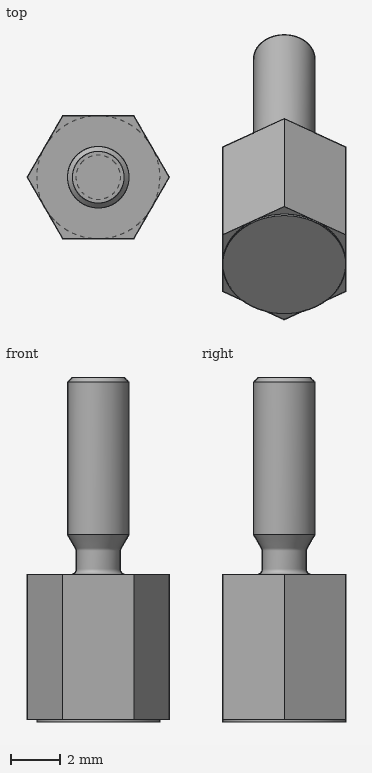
import cadquery as cq
import math

total_height = 14.0
hex_top = 6.0

across_flats = 5.0
across_corners = across_flats / math.cos(math.radians(30))
seat_diameter = across_flats
seat_height = 0.1

stud_diameter = 2.5
stud_radius = stud_diameter / 2
tip_chamfer = 0.2
neck_diameter = 1.8
neck_radius = neck_diameter / 2
neck_fillet = 0.2
neck_length = 0.95
upper_fillet_start = hex_top + neck_length
cone_angle = math.radians(30)


def make_hex_body():
    """Hexagon with two corners on the X axis, plus the thin round seat below it."""
    seat = cq.Workplane("XY").circle(seat_diameter / 2).extrude(seat_height)
    body = (
        cq.Workplane("XY")
        .workplane(offset=seat_height)
        .polygon(6, across_corners)
        .extrude(hex_top - seat_height)
    )
    return body.union(seat)


def upper_fillet_point(angle):
    """Point (radius, height) on the fillet that leads from the neck into the cone."""
    radius = neck_radius + neck_fillet * (1 - math.cos(angle))
    height = upper_fillet_start + neck_fillet * math.sin(angle)
    return radius, height


def make_stud():
    """Revolved stud: root fillet, neck, fillet, conical runout, shank and chamfered tip."""
    root_centre = (neck_radius + neck_fillet, hex_top + neck_fillet)
    root_offset = neck_fillet * math.cos(math.radians(45))
    root_middle = (root_centre[0] - root_offset, root_centre[1] - root_offset)

    cone_start = upper_fillet_point(cone_angle)
    cone_top = cone_start[1] + (stud_radius - cone_start[0]) / math.tan(cone_angle)

    overlap_bottom = hex_top / 2
    profile = (
        cq.Workplane("XZ")
        .moveTo(0, overlap_bottom)
        .lineTo(root_centre[0], overlap_bottom)
        .lineTo(root_centre[0], hex_top)
        .threePointArc(root_middle, (neck_radius, root_centre[1]))
        .lineTo(neck_radius, upper_fillet_start)
        .threePointArc(upper_fillet_point(cone_angle / 2), cone_start)
        .lineTo(stud_radius, cone_top)
        .lineTo(stud_radius, total_height - tip_chamfer)
        .lineTo(stud_radius - tip_chamfer, total_height)
        .lineTo(0, total_height)
        .close()
    )
    return profile.revolve(360, (0, 0, 0), (0, 1, 0))


result = make_hex_body().union(make_stud())